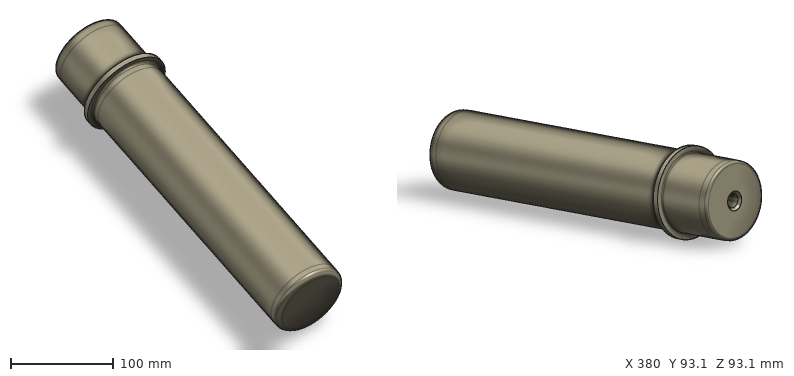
import cadquery as cq
import math

length = 380.0
shaft_radius = 40.0
flange_radius = 46.55

end_round = 2.5
lead_in_end = 10.0
lead_in_relief = 0.2

flange_start = 60.0
flange_thickness = 5.7
front_fillet = 1.0
rear_fillet = 2.3
seat_end = 73.7
seat_relief = 0.2

tip_round = 5.7
tip_taper_length = 5.7
tip_relief = 0.2

hole_radius = 10.0
bore_radius = 7.2
countersink_depth = 2.5
bore_depth = 19.0
drill_point_angle = 118.0

lead_in_radius = shaft_radius - lead_in_relief
seat_radius = shaft_radius - seat_relief
tip_radius = shaft_radius - tip_relief
flange_end = flange_start + flange_thickness
tip_round_start = length - tip_round


def make_body():
    """Revolve the outer half-profile around the X axis."""
    profile = (
        cq.Workplane("XY")
        .moveTo(0, 0)
        .lineTo(0, lead_in_radius - end_round)
        .radiusArc((end_round, lead_in_radius), end_round)
        .lineTo(lead_in_end, shaft_radius)
        .lineTo(flange_start - front_fillet, shaft_radius)
        .radiusArc((flange_start, shaft_radius + front_fillet), -front_fillet)
        .lineTo(flange_start, flange_radius)
        .lineTo(flange_end, flange_radius)
        .lineTo(flange_end, seat_radius + rear_fillet)
        .radiusArc((flange_end + rear_fillet, seat_radius), -rear_fillet)
        .lineTo(seat_end, shaft_radius)
        .lineTo(tip_round_start - tip_taper_length, shaft_radius)
        .lineTo(tip_round_start, tip_radius)
        .radiusArc((length, tip_radius - tip_round), tip_round)
        .lineTo(length, 0)
        .close()
    )
    return profile.revolve(360, (0, 0, 0), (1, 0, 0))


def make_centre_hole():
    """Countersunk blind bore with a conical drill point."""
    point_length = bore_radius / math.tan(math.radians(drill_point_angle / 2))
    profile = (
        cq.Workplane("XY")
        .moveTo(0, 0)
        .lineTo(0, hole_radius)
        .lineTo(countersink_depth, bore_radius)
        .lineTo(bore_depth, bore_radius)
        .lineTo(bore_depth + point_length, 0)
        .close()
    )
    return profile.revolve(360, (0, 0, 0), (1, 0, 0))


result = make_body().cut(make_centre_hole())